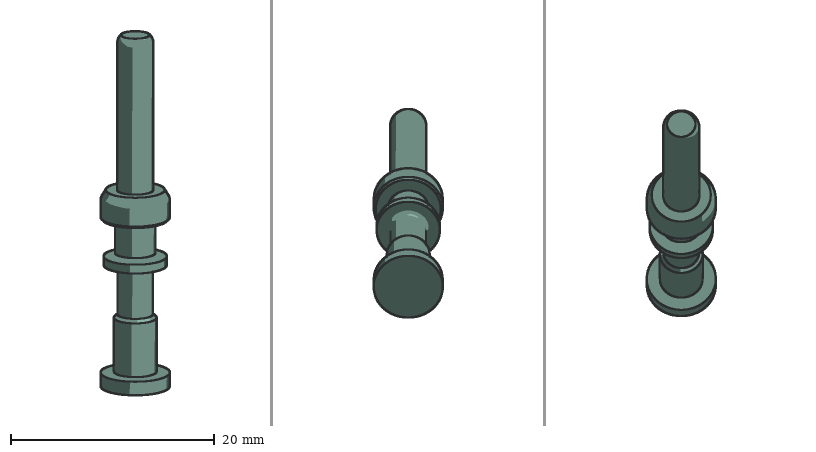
import cadquery as cq
import math

LENGTH = 35.8

FOOT_RADIUS = 3.4
FOOT_RIM_Z = 1.4
FOOT_CONE_RISE = 0.1

SHANK_RADIUS = 2.1
SHANK_CHAMFER = 0.35
SHANK_TOP_Z = 7.35
WAIST_RADIUS = SHANK_RADIUS - SHANK_CHAMFER

FLANGE_RADIUS = 3.1
FLANGE_BOTTOM_Z = 12.35
FLANGE_RIM_HEIGHT = 0.9
FLANGE_CONE_RISE = 0.35
FLANGE_FILLET = 0.43

NECK_RADIUS = 2.0
COLLAR_RADIUS = FOOT_RADIUS
COLLAR_BOTTOM_Z = 17.0
COLLAR_TOP_Z = 20.0
COLLAR_CHAMFER = 0.2
COLLAR_TOP_RADIUS = 2.9
BEVEL_ANGLE = 30.0
BLEND_RADIUS = 0.5

PIN_RADIUS = 1.8
TIP_FLAT_RADIUS = 1.4
TIP_ARC_RADIUS = 1.0


def arc_point(centre, radius, degrees):
    """Point on a circle, the angle measured from the outward radial direction."""
    angle = math.radians(degrees)
    return (centre[0] + radius * math.cos(angle), centre[1] + radius * math.sin(angle))


fillet_centre = (WAIST_RADIUS + FLANGE_FILLET, FLANGE_BOTTOM_Z - FLANGE_FILLET)
flange_rim_z = FLANGE_BOTTOM_Z + FLANGE_RIM_HEIGHT

blend_centre_r = COLLAR_RADIUS - BLEND_RADIUS
blend_end_r = blend_centre_r + BLEND_RADIUS * math.cos(math.radians(BEVEL_ANGLE))
blend_end_z = COLLAR_TOP_Z - (blend_end_r - COLLAR_TOP_RADIUS) / math.tan(math.radians(BEVEL_ANGLE))
blend_centre = (blend_centre_r, blend_end_z - BLEND_RADIUS * math.sin(math.radians(BEVEL_ANGLE)))

tip_centre_r = PIN_RADIUS - TIP_ARC_RADIUS
tip_angle = math.degrees(math.acos((TIP_FLAT_RADIUS - tip_centre_r) / TIP_ARC_RADIUS))
tip_centre = (tip_centre_r, LENGTH - TIP_ARC_RADIUS * math.sin(math.radians(tip_angle)))

profile = (
    cq.Workplane("XZ")
    .lineTo(FOOT_RADIUS, 0)
    .lineTo(FOOT_RADIUS, FOOT_RIM_Z)
    .lineTo(SHANK_RADIUS, FOOT_RIM_Z + FOOT_CONE_RISE)
    .lineTo(SHANK_RADIUS, SHANK_TOP_Z - SHANK_CHAMFER)
    .lineTo(WAIST_RADIUS, SHANK_TOP_Z)
    .lineTo(*arc_point(fillet_centre, FLANGE_FILLET, 180))
    .threePointArc(
        arc_point(fillet_centre, FLANGE_FILLET, 135),
        arc_point(fillet_centre, FLANGE_FILLET, 90),
    )
    .lineTo(FLANGE_RADIUS, FLANGE_BOTTOM_Z)
    .lineTo(FLANGE_RADIUS, flange_rim_z)
    .lineTo(NECK_RADIUS, flange_rim_z + FLANGE_CONE_RISE)
    .lineTo(NECK_RADIUS, COLLAR_BOTTOM_Z)
    .lineTo(COLLAR_RADIUS - COLLAR_CHAMFER, COLLAR_BOTTOM_Z)
    .lineTo(COLLAR_RADIUS, COLLAR_BOTTOM_Z + COLLAR_CHAMFER)
    .lineTo(*arc_point(blend_centre, BLEND_RADIUS, 0))
    .threePointArc(
        arc_point(blend_centre, BLEND_RADIUS, BEVEL_ANGLE / 2),
        arc_point(blend_centre, BLEND_RADIUS, BEVEL_ANGLE),
    )
    .lineTo(COLLAR_TOP_RADIUS, COLLAR_TOP_Z)
    .lineTo(PIN_RADIUS, COLLAR_TOP_Z)
    .lineTo(*arc_point(tip_centre, TIP_ARC_RADIUS, 0))
    .threePointArc(
        arc_point(tip_centre, TIP_ARC_RADIUS, tip_angle / 2),
        arc_point(tip_centre, TIP_ARC_RADIUS, tip_angle),
    )
    .lineTo(0, LENGTH)
    .close()
)

result = profile.revolve(360, (0, 0, 0), (0, 1, 0))